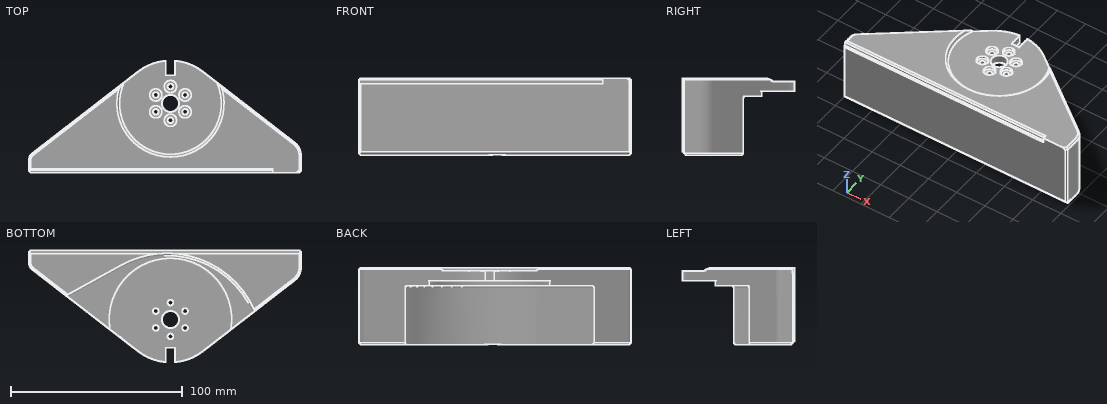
import cadquery as cq
import math

length = 158.5
height = 45.0
hub_x = 82.5
hub_y = 40.5
flank_angle = math.radians(37.7)
left_end_depth = 9.8
apex_radius = 30.6
left_corner_radius = 4.8
right_corner_radius = 9.5
edge_chamfer = 1.1
front_base_chamfer = 2.2

seat_radius = 29.7
seat_rim_radius = 31.2
seat_z = 43.1
seat_underside_z = 37.3
underside_relief_radius = 35.7

bore_diameter = 9.8
bolt_count = 6
bolt_circle_radius = 9.8
bolt_diameter = 3.2
counterbore_diameter = 7.1
counterbore_depth = 1.9
slot_width = 5.2
slot_end_y = 57.0

plate_underside_z = 34.4
hollow_x = 80.5
hollow_radius = 55.5
hollow_front_y = 1.9
hollow_left_x = 21.4
hollow_left_y = 26.6
hollow_roof_fillet = 1.3

step_length = 141.9
step_depth = 1.5
step_height = 3.3
step_chamfer = 1.0

overcut = 15.9


def make_body():
    """Extruded triangle with rounded corners and chamfered outer edges."""
    slope = math.tan(flank_angle)
    apex_y = left_end_depth + slope * hub_x
    right_end_depth = apex_y - slope * (length - hub_x)
    body = (
        cq.Workplane("XY")
        .polyline([(0, 0), (length, 0), (length, right_end_depth), (hub_x, apex_y), (0, left_end_depth)])
        .close()
        .extrude(height)
    )
    middle_z = height / 2
    rounded_corners = [
        (0, left_end_depth, left_corner_radius),
        (length, right_end_depth, right_corner_radius),
        (hub_x, apex_y, apex_radius),
    ]
    for x, y, radius in rounded_corners:
        body = body.edges(cq.NearestToPointSelector((x, y, middle_z))).fillet(radius)
    body = body.edges("|Z and <Y").chamfer(edge_chamfer)
    body = body.faces("<Z").edges("<Y").chamfer(front_base_chamfer)
    body = body.faces("<Z").edges("not <Y").chamfer(edge_chamfer)
    return body.faces(">Z").edges("not <Y").chamfer(edge_chamfer)


def make_hollow():
    """Round-fronted pocket whose left wall runs tangent off the arc."""
    center_y = hollow_front_y + hollow_radius
    offset_x = hollow_x - hollow_left_x
    offset_y = center_y - hollow_left_y
    distance = math.hypot(offset_x, offset_y)
    wall_angle = math.atan2(offset_y, offset_x) - math.asin(hollow_radius / distance)
    wall_length = math.sqrt(distance**2 - hollow_radius**2)
    tangent_point = (
        hollow_left_x + wall_length * math.cos(wall_angle),
        hollow_left_y + wall_length * math.sin(wall_angle),
    )
    left_x = hollow_left_x - overcut
    left_y = hollow_left_y - overcut * math.tan(wall_angle)
    right_x = hollow_x + hollow_radius
    rear_y = center_y + hollow_radius
    arc_middle = (
        hollow_x + hollow_radius * math.sin(math.pi / 4),
        center_y - hollow_radius * math.cos(math.pi / 4),
    )
    return (
        cq.Workplane("XY")
        .workplane(offset=-overcut)
        .moveTo(left_x, left_y)
        .lineTo(*tangent_point)
        .threePointArc(arc_middle, (right_x, center_y))
        .lineTo(right_x, rear_y)
        .lineTo(left_x, rear_y)
        .close()
        .extrude(plate_underside_z + overcut)
        .faces(">Z")
        .edges()
        .fillet(hollow_roof_fillet)
    )


def hub_cylinder(radius, bottom_z, top_z):
    return cq.Workplane("XY", origin=(hub_x, hub_y, bottom_z)).circle(radius).extrude(top_z - bottom_z)


def make_seat_recess():
    """Shallow recess with a flared rim."""
    return (
        cq.Workplane("XY", origin=(hub_x, hub_y, seat_z))
        .circle(seat_radius)
        .workplane(offset=height - seat_z)
        .circle(seat_rim_radius)
        .loft()
    )


def drill_seat(body):
    """Central bore and a ring of counterbored bolt holes."""
    seat = cq.Workplane("XY", origin=(hub_x, hub_y, seat_z))
    first_bolt_angle = 90
    bolts = seat.polarArray(bolt_circle_radius, first_bolt_angle, 360, bolt_count)
    bolt_holes = bolts.circle(bolt_diameter / 2).extrude(-height)
    counterbores = bolts.circle(counterbore_diameter / 2).extrude(-counterbore_depth)
    bore = seat.circle(bore_diameter / 2).extrude(-height)
    return body.cut(bore).cut(bolt_holes).cut(counterbores)


def make_slot():
    slot_length = apex_radius
    return cq.Workplane("XY").box(slot_width, slot_length, height, centered=(True, False, False)).translate(
        (hub_x, slot_end_y, 0)
    )


def make_front_step():
    """Ledge along the front wall with a bevel above it, open at the left end."""
    ledge_z = height - step_height
    return (
        cq.Workplane("YZ")
        .moveTo(0, ledge_z)
        .lineTo(step_depth, ledge_z)
        .lineTo(step_depth, height - step_chamfer)
        .lineTo(step_depth + step_chamfer, height)
        .lineTo(0, height)
        .close()
        .extrude(step_length)
    )


result = make_body().cut(make_hollow())
result = result.cut(hub_cylinder(underside_relief_radius, plate_underside_z - overcut, seat_underside_z))
result = result.cut(make_seat_recess())
result = drill_seat(result)
result = result.cut(make_slot()).cut(make_front_step())